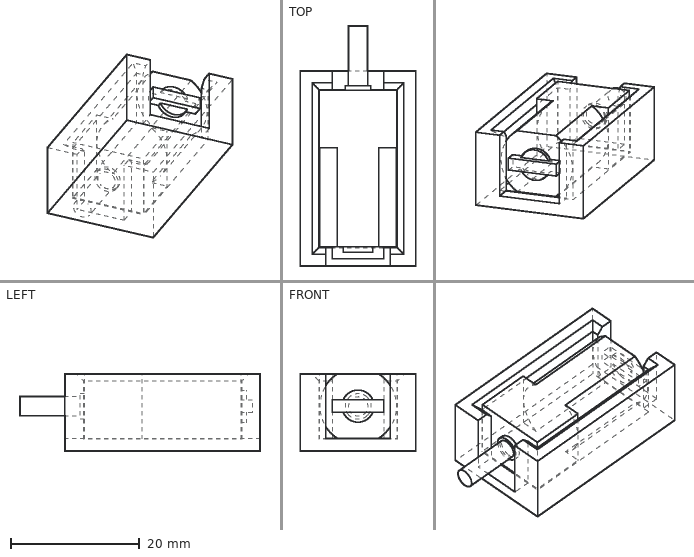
import cadquery as cq


can_diameter = 11.92
can_height = 10.0
can_length = 15.4
gearbox_width = 12.0
gearbox_height = can_height
gearbox_length = 9.0
boss_diameter = 4.0
boss_length = 0.7
shaft_diameter = 3.0
shaft_length = 10.0
bearing_diameter = 5.0
bearing_length = 0.8
terminal_width = 8.0
terminal_thickness = 1.95
terminal_depth = 1.8

motor_clearance = 0.1
wall = 2.9
floor_thickness = 2.0
rim_chamfer = 1.05
front_opening_width = 10.0
rear_slot_width = 8.0

motor_length = can_length + gearbox_length
pocket_width = gearbox_width + 2 * motor_clearance
pocket_depth = can_height + motor_clearance
pocket_length = motor_length + 2 * motor_clearance
housing_width = pocket_width + 2 * wall
housing_length = pocket_length + 2 * wall
housing_height = floor_thickness + can_height

can_front = wall + motor_clearance
gearbox_front = can_front + can_length
gearbox_rear = gearbox_front + gearbox_length
axis_z = floor_thickness + can_height / 2


def block(width, length, height, front, bottom):
    """Box centred on X = 0, starting at the given front Y and bottom Z."""
    return (
        cq.Workplane("XY")
        .box(width, length, height, centered=(True, False, False))
        .translate((0, front, bottom))
    )


def cylinder(diameter, length, front):
    """Cylinder on the motor axis, running toward +Y from the given front Y."""
    axis_start = cq.Vector(0, front, axis_z)
    return cq.Workplane(cq.Solid.makeCylinder(diameter / 2, length, axis_start, cq.Vector(0, 1, 0)))


def make_housing():
    """Open-topped tray with a chamfered rim and an opening in each end wall."""
    body = block(housing_width, housing_length, housing_height, 0, 0)
    pocket = block(pocket_width, pocket_length, pocket_depth, wall, housing_height - pocket_depth)

    rim_flare = (
        cq.Workplane("XY", origin=(0, housing_length / 2, housing_height - rim_chamfer))
        .rect(pocket_width, pocket_length)
        .workplane(offset=rim_chamfer)
        .rect(pocket_width + 2 * rim_chamfer, pocket_length + 2 * rim_chamfer)
        .loft(ruled=True)
    )

    front_opening = block(front_opening_width, wall, can_height, 0, floor_thickness)
    rear_slot = block(rear_slot_width, wall, can_height, housing_length - wall, floor_thickness)
    return body.cut(pocket).cut(rim_flare).cut(front_opening).cut(rear_slot)


def make_motor():
    """Flat-sided motor can and gearbox, with output shaft, bearing and terminal bar."""
    flats = block(can_diameter, can_length, can_height, can_front, floor_thickness)
    can = cylinder(can_diameter, can_length, can_front).intersect(flats)
    gearbox = block(gearbox_width, gearbox_length, gearbox_height, gearbox_front, floor_thickness)
    boss = cylinder(boss_diameter, boss_length, gearbox_rear)
    shaft = cylinder(shaft_diameter, shaft_length, gearbox_rear)
    bearing = cylinder(bearing_diameter, bearing_length, can_front - bearing_length)
    terminal_bar = block(
        terminal_width,
        terminal_depth,
        terminal_thickness,
        can_front - terminal_depth,
        axis_z - terminal_thickness / 2,
    )
    return can.union(gearbox).union(boss).union(shaft).union(bearing).union(terminal_bar)


housing = make_housing()
motor = make_motor()

result = cq.Compound.makeCompound([*housing.solids().vals(), *motor.solids().vals()])